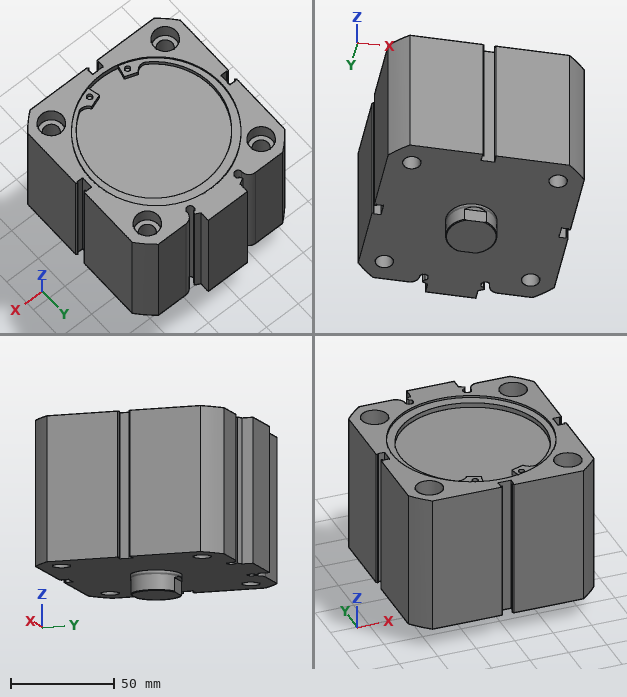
import cadquery as cq
import math

body_width = 96.5
half_width = body_width / 2
body_height = 72.0
corner_radius = 62.2
corner_edge = math.sqrt(corner_radius**2 - half_width**2)
corner_middle = corner_radius / math.sqrt(2)

overall_depth = 102.0
boss_top = overall_depth - half_width
boss_half_width = 12.4
tooth_tip = (15.3, half_width - 1.5)
tooth_base = (14.4, half_width - 3.1)
groove_center = (15.15, half_width - 4.8)
groove_radius = 2.05
groove_inner_x = groove_center[0] - groove_radius
groove_outer_x = groove_center[0] + groove_radius
tooth_root = (groove_inner_x, half_width - 4.0)
tooth_root_middle = (groove_inner_x + 0.4, half_width - 3.3)
groove_lip_radius = half_width - groove_center[1]

slot_width = 6.7
slot_mouth_width = 5.1
slot_depth = 4.5
slot_lip = 1.0
slot_mouth_chamfer = 0.6

hole_spacing = 72.0
hole_diameter = 8.8
counterbore_diameter = 13.7
counterbore_depth = 9.0

bore_diameter = 82.0
bore_radius = bore_diameter / 2
ring_top = body_height - 1.1
ring_thickness = 2.5
ring_bottom = ring_top - ring_thickness
cover_thickness = 12.0
cover_bottom = ring_bottom - cover_thickness

ring_opening_radius = 37.6
ring_opening_center_y = -1.75
lug_foot_x = 21.0
lug_foot_y = ring_opening_center_y - math.sqrt(ring_opening_radius**2 - lug_foot_x**2)
lug_hollow = (18.2, -33.3)
lug_tip = (14.75, -30.9)
lug_corner = (7.9, -33.3)
lug_hole = (12.0, -35.7)
lug_hole_diameter = 3.0

rod_diameter = 25.0
rod_protrusion = 10.0
rod_end_diameter = 24.8
rod_end_length = 8.2
rod_taper_height = 0.4
rod_end_chamfer = 0.4
wrench_width = 22.4
wrench_flat_height = 7.0
wrench_cut_margin = 1.0


def mirror_x(point):
    return (-point[0], point[1])


def block_profile():
    """Outline of the housing: square with arc corners and the port boss."""
    lip_end = (groove_outer_x + groove_lip_radius, half_width)
    lip_offset = groove_lip_radius * (1 - 1 / math.sqrt(2))
    lip_middle = (groove_outer_x + lip_offset, half_width - lip_offset)
    groove_right = (groove_outer_x, groove_center[1])
    groove_bottom = (groove_center[0], groove_center[1] - groove_radius)
    groove_left = (groove_inner_x, groove_center[1])
    boss_foot = (boss_half_width, half_width)
    boss_corner = (boss_half_width, boss_top)
    return (
        cq.Workplane("XY")
        .moveTo(-corner_edge, -half_width)
        .lineTo(corner_edge, -half_width)
        .threePointArc((corner_middle, -corner_middle), (half_width, -corner_edge))
        .lineTo(half_width, corner_edge)
        .threePointArc((corner_middle, corner_middle), (corner_edge, half_width))
        .lineTo(*lip_end)
        .threePointArc(lip_middle, groove_right)
        .threePointArc(groove_bottom, groove_left)
        .lineTo(*tooth_root)
        .threePointArc(tooth_root_middle, tooth_base)
        .lineTo(*tooth_tip)
        .lineTo(*boss_foot)
        .lineTo(*boss_corner)
        .lineTo(*mirror_x(boss_corner))
        .lineTo(*mirror_x(boss_foot))
        .lineTo(*mirror_x(tooth_tip))
        .lineTo(*mirror_x(tooth_base))
        .threePointArc(mirror_x(tooth_root_middle), mirror_x(tooth_root))
        .lineTo(*mirror_x(groove_left))
        .threePointArc(mirror_x(groove_bottom), mirror_x(groove_right))
        .threePointArc(mirror_x(lip_middle), mirror_x(lip_end))
        .lineTo(-corner_edge, half_width)
        .threePointArc((-corner_middle, corner_middle), (-half_width, corner_edge))
        .lineTo(-half_width, -corner_edge)
        .threePointArc((-corner_middle, -corner_middle), (-corner_edge, -half_width))
        .close()
    )


def t_slot(angle):
    """Cutter for a full-height T-slot in the -Y face, turned about Z by angle."""
    face = -half_width
    neck = slot_mouth_width / 2
    half_slot = slot_width / 2
    right_side = [
        (neck + slot_mouth_chamfer, face),
        (neck, face + slot_mouth_chamfer),
        (neck, face + slot_lip),
        (half_slot, face + slot_lip),
        (half_slot, face + slot_depth),
    ]
    left_side = [mirror_x(point) for point in reversed(right_side)]
    return (
        cq.Workplane("XY")
        .polyline(right_side + left_side)
        .close()
        .extrude(body_height)
        .rotate((0, 0, 0), (0, 0, 1), angle)
    )


def corner_cylinders(diameter, bottom, height):
    return (
        cq.Workplane("XY", origin=(0, 0, bottom))
        .rect(hole_spacing, hole_spacing, forConstruction=True)
        .vertices()
        .circle(diameter / 2)
        .extrude(height)
    )


def cylinder(diameter, bottom, top):
    return cq.Workplane("XY", origin=(0, 0, bottom)).circle(diameter / 2).extrude(top - bottom)


def make_housing():
    block = block_profile().extrude(body_height)
    for angle in (-90, 0, 90):
        block = block.cut(t_slot(angle))
    block = block.cut(corner_cylinders(hole_diameter, 0, body_height))
    counterbore_bottom = body_height - counterbore_depth
    block = block.cut(corner_cylinders(counterbore_diameter, counterbore_bottom, counterbore_depth))
    block = block.cut(cylinder(bore_diameter, cover_bottom, body_height))
    return block.cut(cylinder(rod_diameter, 0, cover_bottom))


def make_head_cover():
    return cylinder(bore_diameter, cover_bottom, ring_bottom)


def make_retaining_ring():
    gap_scale = bore_radius / math.hypot(*lug_corner)
    gap_end = (lug_corner[0] * gap_scale, lug_corner[1] * gap_scale)
    lug_foot = (lug_foot_x, lug_foot_y)
    return (
        cq.Workplane("XY", origin=(0, 0, ring_bottom))
        .moveTo(*gap_end)
        .threePointArc((0, bore_radius), mirror_x(gap_end))
        .lineTo(*mirror_x(lug_corner))
        .lineTo(*mirror_x(lug_tip))
        .threePointArc(mirror_x(lug_hollow), mirror_x(lug_foot))
        .threePointArc((0, ring_opening_center_y + ring_opening_radius), lug_foot)
        .threePointArc(lug_hollow, lug_tip)
        .lineTo(*lug_corner)
        .close()
        .extrude(ring_thickness)
        .cut(
            cq.Workplane("XY", origin=(0, 0, ring_bottom))
            .pushPoints([lug_hole, mirror_x(lug_hole)])
            .circle(lug_hole_diameter / 2)
            .extrude(ring_thickness)
        )
    )


def wrench_flat_cutter():
    """Cutter for the flat on the +Y side; its upper end slopes out at 45 degrees."""
    flat = wrench_width / 2
    outside = rod_diameter / 2 + wrench_cut_margin
    flat_top = wrench_flat_height - rod_protrusion
    return (
        cq.Workplane("YZ")
        .moveTo(flat, -rod_protrusion)
        .lineTo(outside, -rod_protrusion)
        .lineTo(outside, flat_top + outside - flat)
        .lineTo(flat, flat_top)
        .close()
        .extrude(rod_diameter / 2, both=True)
    )


def make_rod():
    rod_radius = rod_diameter / 2
    end_radius = rod_end_diameter / 2
    end_top = rod_end_length - rod_protrusion
    rod = (
        cq.Workplane("XZ")
        .moveTo(0, -rod_protrusion)
        .lineTo(end_radius - rod_end_chamfer, -rod_protrusion)
        .lineTo(end_radius, rod_end_chamfer - rod_protrusion)
        .lineTo(end_radius, end_top)
        .lineTo(rod_radius, end_top + rod_taper_height)
        .lineTo(rod_radius, cover_bottom)
        .lineTo(0, cover_bottom)
        .close()
        .revolve(360, (0, 0), (0, 1))
    )
    cutter = wrench_flat_cutter()
    return rod.cut(cutter).cut(cutter.mirror("XZ"))


housing = make_housing()
head_cover = make_head_cover()
retaining_ring = make_retaining_ring()
rod = make_rod()

result = cq.Compound.makeCompound(
    [housing.val(), head_cover.val(), retaining_ring.val(), rod.val()]
)